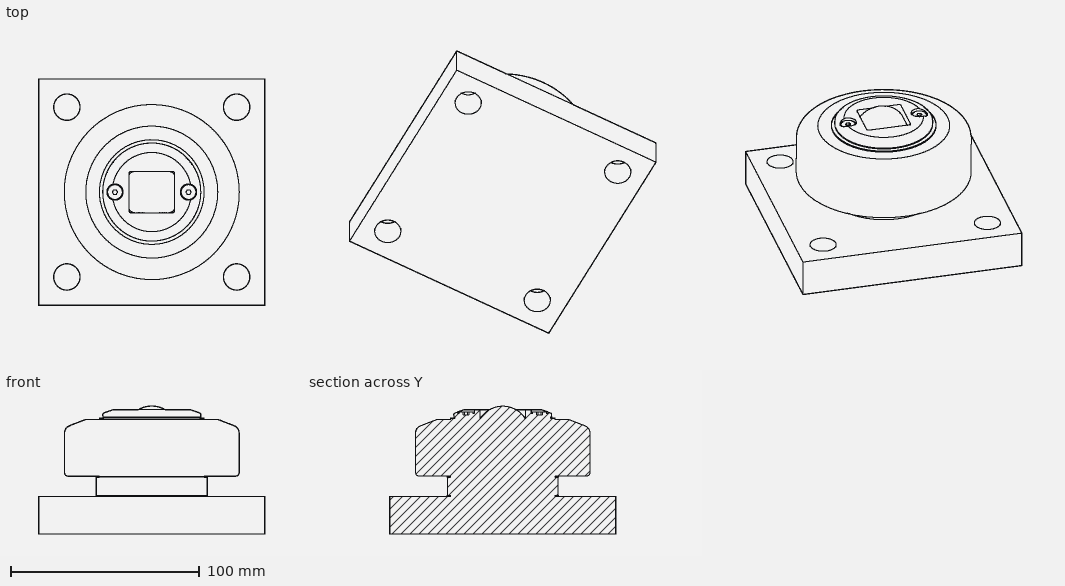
import cadquery as cq

PLATE_SIDE = 120.0
PLATE_THICKNESS = 20.0
MOUNT_HOLE_DIAMETER = 13.84
MOUNT_HOLE_PITCH = 90.0

NECK_DIAMETER = 59.0
NECK_BOTTOM_Z = 20.4
NECK_TOP_Z = 30.3

ROLLER_DIAMETER = 92.8
ROLLER_BOTTOM_Z = 30.7
ROLLER_TOP_Z = 60.9
ROLLER_FLAT_DIAMETER = 70.0
CROWN_DROP = 4.4
CROWN_FILLET = 4.5
BOTTOM_FILLET = 2.0

RING_DIAMETER = 55.5
RING_TOP_Z = 61.5

CAP_DIAMETER = 52.0
CAP_TOP_DIAMETER = 42.0
CAP_TOP_Z = 66.0
CAP_BEVEL_HEIGHT = 1.9
CAP_RIM_FILLET = 1.0
CAP_FOOT_Z = 62.0
CAP_FOOT_DIAMETER = 51.0

WINDOW_LENGTH_X = 24.0
WINDOW_LENGTH_Y = 22.0
WINDOW_CORNER_RADIUS = 1.0
WINDOW_DEPTH = 5.4
AXIAL_ROLLER_TOP_Z = 68.0
AXIAL_ROLLER_RADIUS = 14.0
AXIAL_ROLLER_LENGTH = 21.8
AXIAL_ROLLER_FILLET = 3.0

SCREW_OFFSET_X = 19.5
SCREW_PLACES = [(-SCREW_OFFSET_X, 0), (SCREW_OFFSET_X, 0)]
SCREW_BORE_DIAMETER = 8.6
SCREW_BORE_DEPTH = 2.0
SCREW_HEAD_DIAMETER = 7.8
SCREW_HEAD_DEPTH = 1.2
SOCKET_SIDES = 6
SOCKET_DIAMETER = 2.8
SOCKET_DEPTH = 1.5

LEVEL_TOLERANCE = 0.1


def disc(diameter, bottom_z, top_z):
    """Upright cylinder on the main axis."""
    return cq.Workplane("XY", origin=(0, 0, bottom_z)).circle(diameter / 2).extrude(top_z - bottom_z)


def level_edges(z):
    """Selector for the edges that lie level at height z."""
    return cq.selectors.BoxSelector(
        (-PLATE_SIDE, -PLATE_SIDE, z - LEVEL_TOLERANCE),
        (PLATE_SIDE, PLATE_SIDE, z + LEVEL_TOLERANCE),
        boundingbox=True,
    )


def make_plate():
    """Square plate with a through hole near each corner."""
    plate = cq.Workplane("XY").rect(PLATE_SIDE, PLATE_SIDE).extrude(PLATE_THICKNESS)
    return (
        plate.faces(">Z").workplane()
        .rect(MOUNT_HOLE_PITCH, MOUNT_HOLE_PITCH, forConstruction=True)
        .vertices()
        .hole(MOUNT_HOLE_DIAMETER)
    )


def make_main_roller():
    """Roller with a rounded lower rim and a conical crown blended into its side."""
    radius = ROLLER_DIAMETER / 2
    shoulder_z = ROLLER_TOP_Z - CROWN_DROP
    profile = (
        cq.Workplane("XZ")
        .moveTo(0, ROLLER_BOTTOM_Z)
        .lineTo(radius, ROLLER_BOTTOM_Z)
        .lineTo(radius, shoulder_z)
        .lineTo(ROLLER_FLAT_DIAMETER / 2, ROLLER_TOP_Z)
        .lineTo(0, ROLLER_TOP_Z)
        .close()
    )
    roller = profile.revolve(360, (0, 0, 0), (0, 1, 0))
    roller = roller.edges(level_edges(shoulder_z)).fillet(CROWN_FILLET)
    return roller.faces("<Z").edges().fillet(BOTTOM_FILLET)


def make_cap():
    """Disc on a narrower foot, with a shallow bevel around its top blended into its rim."""
    bevel_foot_z = CAP_TOP_Z - CAP_BEVEL_HEIGHT
    profile = (
        cq.Workplane("XZ")
        .moveTo(0, ROLLER_TOP_Z)
        .lineTo(CAP_FOOT_DIAMETER / 2, ROLLER_TOP_Z)
        .lineTo(CAP_FOOT_DIAMETER / 2, CAP_FOOT_Z)
        .lineTo(CAP_DIAMETER / 2, CAP_FOOT_Z)
        .lineTo(CAP_DIAMETER / 2, bevel_foot_z)
        .lineTo(CAP_TOP_DIAMETER / 2, CAP_TOP_Z)
        .lineTo(0, CAP_TOP_Z)
        .close()
    )
    cap = profile.revolve(360, (0, 0, 0), (0, 1, 0))
    return cap.edges(level_edges(bevel_foot_z)).fillet(CAP_RIM_FILLET)


def make_window():
    """Rectangular pocket in the cap."""
    return (
        cq.Workplane("XY", origin=(0, 0, CAP_TOP_Z - WINDOW_DEPTH))
        .rect(WINDOW_LENGTH_X, WINDOW_LENGTH_Y)
        .extrude(WINDOW_DEPTH)
        .edges("|Z")
        .fillet(WINDOW_CORNER_RADIUS)
    )


def make_axial_roller():
    """Roller lying along Y, rounded at both ends."""
    axis_z = AXIAL_ROLLER_TOP_Z - AXIAL_ROLLER_RADIUS
    return (
        cq.Workplane("XZ", origin=(0, 0, axis_z))
        .circle(AXIAL_ROLLER_RADIUS)
        .extrude(AXIAL_ROLLER_LENGTH / 2, both=True)
        .edges()
        .fillet(AXIAL_ROLLER_FILLET)
    )


def screw_cylinders(diameter, bottom_z, top_z):
    """Matching upright cylinders on both screw axes."""
    base = cq.Workplane("XY", origin=(0, 0, bottom_z)).pushPoints(SCREW_PLACES)
    return base.circle(diameter / 2).extrude(top_z - bottom_z)


def make_screw_bores():
    """Shallow bores in the cap that house the screw heads."""
    return screw_cylinders(SCREW_BORE_DIAMETER, CAP_TOP_Z - SCREW_BORE_DEPTH, CAP_TOP_Z)


def make_screw_heads():
    """Sunken screw heads, each with a hexagonal socket."""
    head_top_z = CAP_TOP_Z - SCREW_HEAD_DEPTH
    heads = screw_cylinders(SCREW_HEAD_DIAMETER, CAP_TOP_Z - SCREW_BORE_DEPTH, head_top_z)
    sockets = (
        cq.Workplane("XY", origin=(0, 0, head_top_z))
        .pushPoints(SCREW_PLACES)
        .polygon(SOCKET_SIDES, SOCKET_DIAMETER)
        .extrude(-SOCKET_DEPTH)
    )
    return heads, sockets


body = (
    make_plate()
    .union(disc(RING_DIAMETER, PLATE_THICKNESS, RING_TOP_Z))
    .union(disc(NECK_DIAMETER, NECK_BOTTOM_Z, NECK_TOP_Z))
    .union(make_main_roller())
    .union(make_cap())
)
screw_heads, screw_sockets = make_screw_heads()
body = body.cut(make_screw_bores()).union(screw_heads).cut(screw_sockets)
result = body.cut(make_window()).union(make_axial_roller())